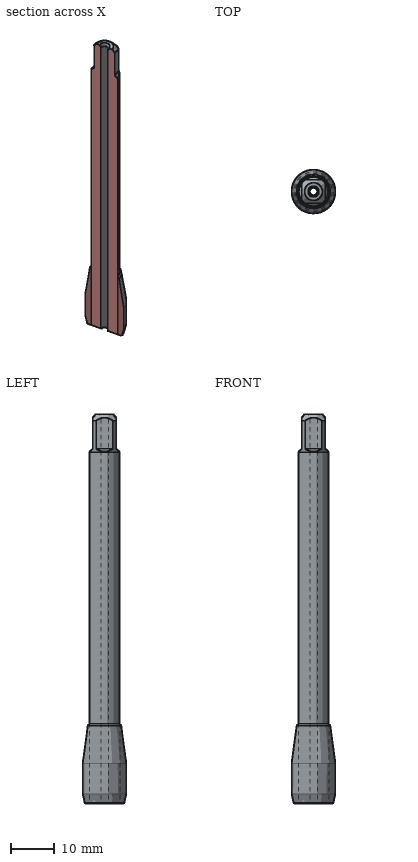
import cadquery as cq

total_length = 90.0
bore_diameter = 1.7

shaft_diameter = 7.0
shaft_top = 81.25
drive_across_flats = 5.5
drive_flats_start = 82.0
drive_corner_diameter = 6.72
drive_tip_diameter = 4.1
drive_tip_height = 1.5
countersink_diameter = 2.5
countersink_depth = 0.75

grip_diameter = 10.15
grip_height = 18.5
grip_neck_diameter = 7.8
grip_neck_chamfer = 0.4
grip_cone_start = 9.4
grip_bottom_taper_height = 2.4
grip_bottom_taper_diameter = 9.1
grip_bottom_chamfer = 0.3


def revolve_profile(points):
    """Revolve an (r, z) outline around the Z axis."""
    return cq.Workplane("XZ").polyline(points).close().revolve(360, (0, 0, 0), (0, 1, 0))


def make_flats_slab():
    """Slab bounded by two opposite flats, each running out at its foot in a 45 degree ramp."""
    half_width = drive_across_flats / 2
    ramp_foot = half_width + drive_flats_start - shaft_top
    return (
        cq.Workplane("XZ")
        .polyline([
            (-ramp_foot, shaft_top),
            (ramp_foot, shaft_top),
            (half_width, drive_flats_start),
            (half_width, total_length),
            (-half_width, total_length),
            (-half_width, drive_flats_start),
        ])
        .close()
        .extrude(shaft_diameter / 2, both=True)
    )


def make_drive_end():
    """Square with rounded corners, its tip cut back by a cone."""
    corner_radius = drive_corner_diameter / 2
    drive_end = revolve_profile([
        (0, shaft_top),
        (corner_radius, shaft_top),
        (corner_radius, total_length - drive_tip_height),
        (drive_tip_diameter / 2, total_length),
        (0, total_length),
    ])
    for angle in (0, 90):
        slab = make_flats_slab().rotate((0, 0, 0), (0, 0, 1), angle)
        drive_end = drive_end.intersect(slab)
    return drive_end


def make_shaft():
    """Round shaft with its drive end and a through bore, countersunk at the tip."""
    rod = cq.Workplane("XY").circle(shaft_diameter / 2).extrude(shaft_top)
    bore = revolve_profile([
        (0, 0),
        (bore_diameter / 2, 0),
        (bore_diameter / 2, total_length - countersink_depth),
        (countersink_diameter / 2, total_length),
        (0, total_length),
    ])
    return rod.union(make_drive_end()).cut(bore)


def make_grip():
    """Tapered sleeve that fits closely around the shaft."""
    hole_radius = shaft_diameter / 2
    grip_radius = grip_diameter / 2
    neck_radius = grip_neck_diameter / 2
    body = revolve_profile([
        (0, 0),
        (grip_bottom_taper_diameter / 2, 0),
        (grip_radius, grip_bottom_taper_height),
        (grip_radius, grip_cone_start),
        (neck_radius, grip_height - grip_neck_chamfer),
        (neck_radius - grip_neck_chamfer, grip_height),
        (0, grip_height),
    ])
    body = body.faces("<Z").edges().chamfer(grip_bottom_chamfer)
    hole = cq.Workplane("XY").circle(hole_radius).extrude(grip_height)
    return body.cut(hole)


shaft = make_shaft()
grip = make_grip()

result = cq.Compound.makeCompound([shaft.val(), grip.val()])